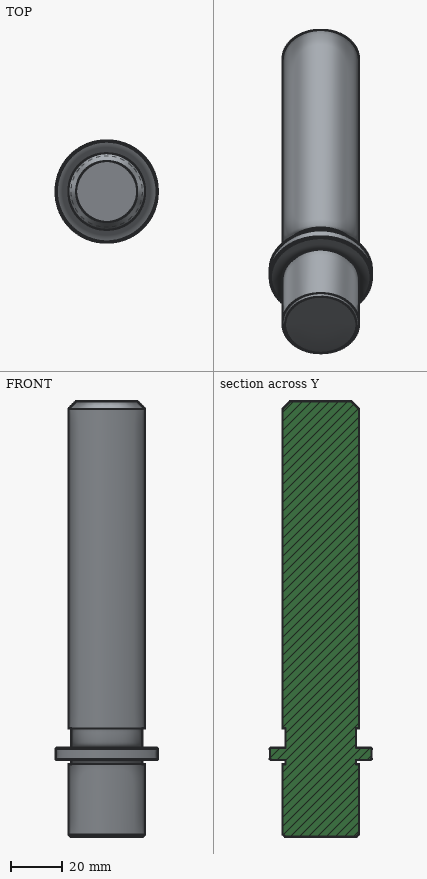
import cadquery as cq

total_height = 170.0
collar_bottom = 30.0
collar_thickness = 5.0
undercut_height = 1.5
neck_height = 7.5
collar_top = collar_bottom + collar_thickness
shaft_bottom = collar_top + neck_height

shaft_radius = 15.0
collar_radius = 40.0 / 2
neck_radius = 14.0

tip_chamfer_height = 3.0
tip_chamfer_width = 3.0
base_chamfer = 1.0
collar_chamfer = 0.5


def cylinder(radius, bottom, top):
    """Solid cylinder on the Z axis between two levels."""
    return cq.Workplane("XY").workplane(offset=bottom).circle(radius).extrude(top - bottom)


spigot = cylinder(shaft_radius, 0, collar_bottom - undercut_height).faces("<Z").chamfer(base_chamfer)

neck = cylinder(neck_radius, collar_bottom - undercut_height, shaft_bottom)

collar = cylinder(collar_radius, collar_bottom, collar_top).faces("<Z or >Z").chamfer(collar_chamfer)

shaft = (
    cylinder(shaft_radius, shaft_bottom, total_height)
    .faces(">Z")
    .chamfer(tip_chamfer_height, tip_chamfer_width)
)

result = spigot.union(neck).union(collar).union(shaft)